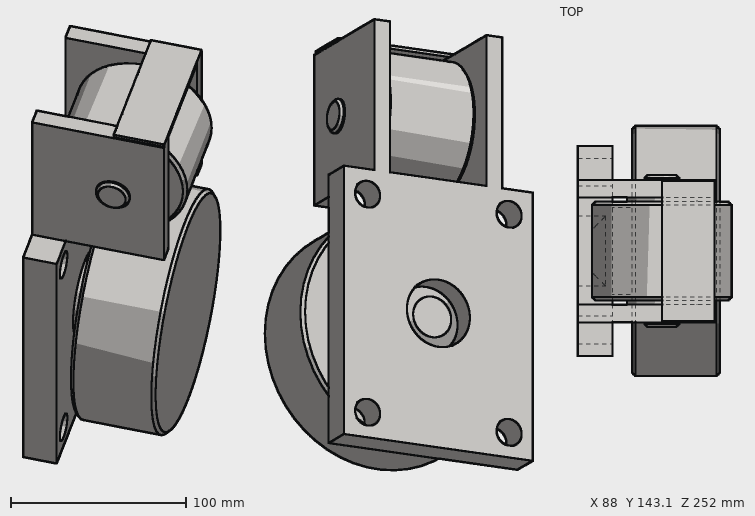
import cadquery as cq

plate_thickness = 20.0
plate_width = 120.0
plate_height = 160.0
bolt_diameter = 16.0
bolt_spacing_y = 90.0
bolt_spacing_z = 130.0

fork_width = 81.5
cheek_thickness = 10.0
cheek_length = 78.0
cover_length = 30.0
cover_width = 80.0
cover_thickness = 2.0
total_height = 252.0
cheek_top = total_height - cover_thickness

roller_diameter = 80.0
roller_width = 56.5
roller_hub_diameter = 40.0
overall_depth = 88.0
roller_x = overall_depth - roller_diameter / 2
roller_z = 205.1
axle_diameter = 20.0
axle_length = 86.7
axle_chamfer = 1.8

wheel_diameter = 143.1
wheel_width = 50.1
wheel_start_x = 31.0
wheel_z = plate_height / 2
wheel_hub_diameter = 50.0
edge_chamfer = 2.0

bore_diameter = 40.0
shaft_tip_diameter = 24.2
shaft_bevel = (bore_diameter - shaft_tip_diameter) / 2
shaft_tip_depth = 8.0


def box_from(x, z, length, width, height):
    """Box centred on Y whose lowest X and Z corner is at (x, z)."""
    return cq.Workplane("XY").box(length, width, height, (False, True, False)).translate((x, 0, z))


def cylinder_x(diameter, start_x, length):
    """Cylinder on the wheel axis, running along X."""
    return cq.Workplane("YZ", origin=(start_x, 0, wheel_z)).circle(diameter / 2).extrude(length)


def cylinder_y(diameter, length):
    """Cylinder on the roller axis, centred on Y = 0."""
    return cq.Workplane("XZ", origin=(roller_x, 0, roller_z)).circle(diameter / 2).extrude(length / 2, both=True)


def make_plate():
    plate = box_from(0, 0, plate_thickness, plate_width, plate_height)
    bolt_holes = (
        cq.Workplane("YZ", origin=(0, 0, plate_height / 2))
        .rarray(bolt_spacing_y, bolt_spacing_z, 2, 2)
        .circle(bolt_diameter / 2)
        .extrude(plate_thickness)
    )
    return plate.cut(bolt_holes).cut(cylinder_x(bore_diameter, 0, plate_thickness))


def make_fork():
    cheek_height = cheek_top - plate_height
    fork = box_from(0, plate_height, cheek_length, fork_width, cheek_height)
    gap = box_from(0, plate_height, cheek_length, fork_width - 2 * cheek_thickness, cheek_height)
    cover = box_from(cheek_length - cover_length, cheek_top, cover_length, cover_width, cover_thickness)
    return fork.cut(gap).union(cover)


def make_roller():
    rim = cylinder_y(roller_diameter, roller_width).edges().chamfer(edge_chamfer)
    hub = cylinder_y(roller_hub_diameter, fork_width - 2 * cheek_thickness)
    axle = cylinder_y(axle_diameter, axle_length).faces("<Y or >Y").chamfer(axle_chamfer)
    return rim.union(hub).union(axle)


def make_wheel():
    rim = cylinder_x(wheel_diameter, wheel_start_x, wheel_width).edges().chamfer(edge_chamfer)
    hub = cylinder_x(wheel_hub_diameter, plate_thickness, wheel_start_x - plate_thickness)
    shaft = cylinder_x(bore_diameter, shaft_tip_depth, wheel_start_x - shaft_tip_depth)
    shaft = shaft.faces("<X").chamfer(shaft_bevel)
    return rim.union(hub).union(shaft)


result = make_plate().union(make_fork()).union(make_roller()).union(make_wheel())